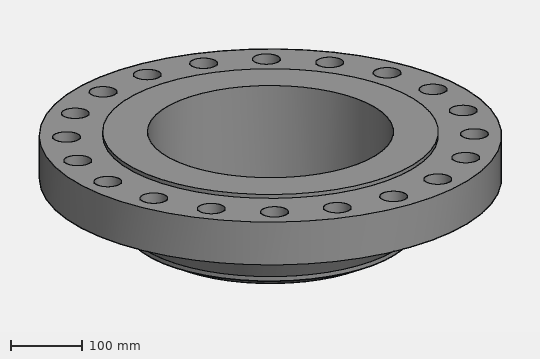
import cadquery as cq

flange_diameter = 648.0
total_height = 159.0
flange_thickness = 65.0
face_diameter = 470.0
face_height = 6.0
flange_top = total_height - face_height
flange_bottom = flange_top - flange_thickness

bore_diameter = 344.5
bolt_circle_diameter = 571.0
bolt_hole_diameter = 39.0
bolt_count = 20

root_radius = 241.5
root_height = 6.0
hub_large_radius = 236.5
hub_small_radius = 204.0
hub_taper_end = 22.0

band_height = 6.5
shoulder_drop = 1.0
bevel_outer_radius = 189.0
bevel_inner_radius = 175.5
band_bottom = hub_taper_end - band_height
bevel_height = band_bottom - shoulder_drop


def revolved_body():
    """Revolve the half section, ordered from the weld end up to the raised face."""
    section = [
        (bore_diameter / 2, 0),
        (bevel_inner_radius, 0),
        (bevel_outer_radius, bevel_height),
        (hub_small_radius - shoulder_drop, bevel_height),
        (hub_small_radius, band_bottom),
        (hub_small_radius, hub_taper_end),
        (hub_large_radius, flange_bottom - root_height),
        (root_radius, flange_bottom),
        (flange_diameter / 2, flange_bottom),
        (flange_diameter / 2, flange_top),
        (face_diameter / 2, flange_top),
        (face_diameter / 2, total_height),
        (bore_diameter / 2, total_height),
    ]
    return cq.Workplane("XZ").polyline(section).close().revolve(360, (0, 0, 0), (0, 1, 0))


def bolt_holes():
    """Cylinders for the bolt holes, with one hole on the +X axis."""
    return (
        cq.Workplane("XY")
        .polarArray(bolt_circle_diameter / 2, 0, 360, bolt_count)
        .circle(bolt_hole_diameter / 2)
        .extrude(total_height)
    )


result = revolved_body().cut(bolt_holes())